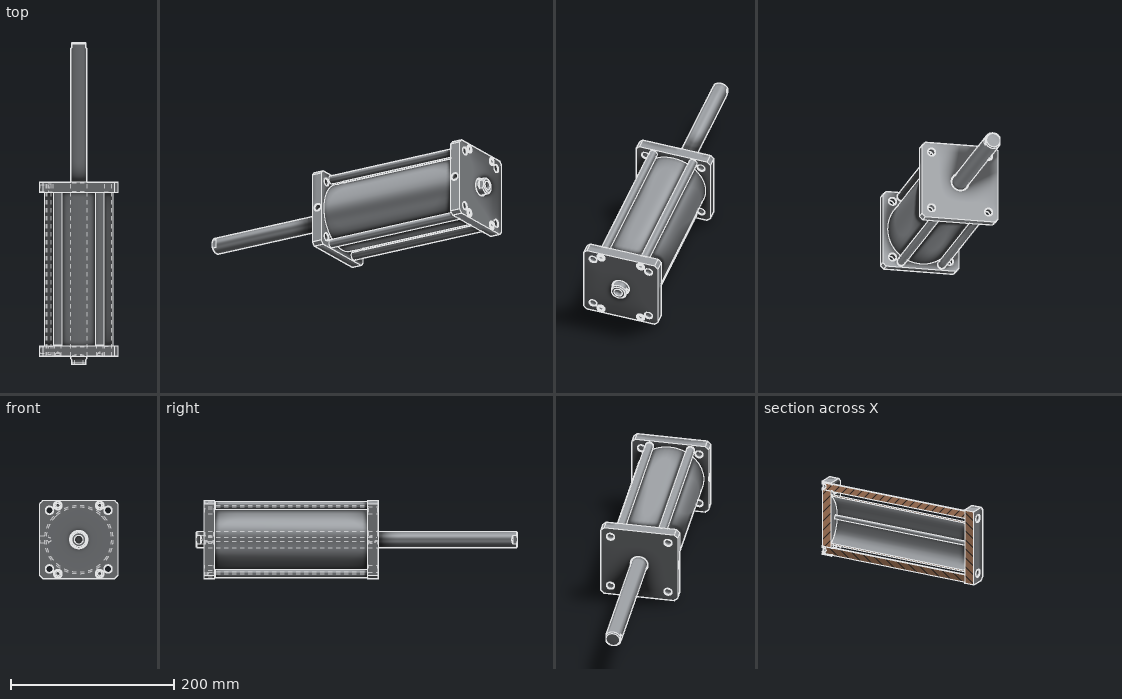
import cadquery as cq
import math


plate_size = 96.0
plate_thickness = 13.0
plate_corner_diameter = 130.0
plate_spacing = 187.5
rod_hole_chamfer = 1.0

mount_hole_diameter = 8.5
mount_hole_chamfer = 0.8
mount_hole_offset = 36.0

port_diameter = 8.3
port_chamfer = 0.8
port_depth = 11.0
port_inset = 5.5

tube_outer_diameter = 84.0
tube_inner_diameter = 80.0

rod_length = 394.0
rod_diameter = 20.0
rod_front_overhang = 10.0
rod_chamfer = 1.5
rod_flat_width = 17.5
rod_flat_length = 6.0
rod_bore_diameter = 10.5
rod_bore_depth = 12
rod_bore_tip_angle = 168.0

tie_diameter = 10.2
tie_neck_diameter = 8.3
tie_neck_relief = 1.0
tie_hole_chamfer = 1.0
tie_socket_diameter = 5.0
tie_socket_depth = 4
tie_offset_x = 25.5
tie_offset_z = 41.8

pin_diameter = 5.0
pin_seat_depth = 10.5
pin_offset = 36.2

drill_tip_angle = 118.0

rod_front = -rod_length / 2
rod_rear = rod_length / 2
front_outer = rod_front + rod_front_overhang
front_inner = front_outer + plate_thickness
rear_inner = front_inner + plate_spacing

tie_positions = [(x, z) for x in (-tie_offset_x, tie_offset_x) for z in (-tie_offset_z, tie_offset_z)]
mount_positions = [
    (x, z)
    for x in (-mount_hole_offset, mount_hole_offset)
    for z in (-mount_hole_offset, mount_hole_offset)
]


def bar(diameter, start, end, x=0.0, z=0.0):
    """Round bar along Y from start to end."""
    return cq.Workplane(
        cq.Solid.makeCylinder(diameter / 2, end - start, cq.Vector(x, start, z), cq.Vector(0, 1, 0))
    )


def drilled_hole(diameter, depth, entry, direction, tip_angle):
    """Cutter for a blind hole of the given full-diameter depth with a conical tip."""
    radius = diameter / 2
    tip_length = radius / math.tan(math.radians(tip_angle / 2))
    shank = cq.Solid.makeCylinder(radius, depth, entry, direction)
    tip = cq.Solid.makeCone(radius, 0, tip_length, entry + direction * depth, direction)
    return cq.Workplane(shank.fuse(tip))


def countersink(hole_diameter, chamfer, entry, direction):
    """Cutter for a 45 degree chamfer around the mouth of a hole."""
    radius = hole_diameter / 2
    return cq.Workplane(cq.Solid.makeCone(radius + chamfer, radius, chamfer, entry, direction))


def chamfered_through_hole(diameter, chamfer, start, x=0.0, z=0.0):
    """Cutter for a hole through a plate that starts at start, chamfered at both faces."""
    end = start + plate_thickness
    hole = bar(diameter, start, end, x, z)
    hole = hole.union(countersink(diameter, chamfer, cq.Vector(x, start, z), cq.Vector(0, 1, 0)))
    return hole.union(countersink(diameter, chamfer, cq.Vector(x, end, z), cq.Vector(0, -1, 0)))


def make_plate(start, port_y):
    """End plate from start towards +Y, with its rod hole, mounting holes and air port."""
    end = start + plate_thickness
    block = cq.Workplane("XY").box(plate_size, plate_thickness, plate_size)
    block = block.translate((0, (start + end) / 2, 0))
    block = block.intersect(bar(plate_corner_diameter, start, end))
    block = block.cut(chamfered_through_hole(rod_diameter, rod_hole_chamfer, start))
    for x, z in mount_positions:
        block = block.cut(chamfered_through_hole(mount_hole_diameter, mount_hole_chamfer, start, x, z))
    port_entry = cq.Vector(-plate_size / 2, port_y, 0)
    inward = cq.Vector(1, 0, 0)
    block = block.cut(drilled_hole(port_diameter, port_depth, port_entry, inward, drill_tip_angle))
    block = block.cut(countersink(port_diameter, port_chamfer, port_entry, inward))
    return block.cut(make_pin())


def make_front_plate():
    """End plate on the -Y side, with through holes for the tie rod necks."""
    plate = make_plate(front_outer, front_inner - port_inset)
    for x, z in tie_positions:
        plate = plate.cut(bar(tie_neck_diameter, front_outer, front_inner, x, z))
        mouth = cq.Vector(x, front_outer, z)
        plate = plate.cut(countersink(tie_neck_diameter, tie_hole_chamfer, mouth, cq.Vector(0, 1, 0)))
    return plate


def make_rear_plate():
    """End plate on the +Y side."""
    return make_plate(rear_inner, rear_inner + port_inset)


def make_tube():
    """Cylinder tube clamped between the plates."""
    outer = bar(tube_outer_diameter, front_inner, rear_inner)
    return outer.cut(bar(tube_inner_diameter, front_inner, rear_inner))


def rod_flat_cutter(side, end):
    """Cutter for one flat: parallel to the axis, then running out at 45 degrees."""
    flat = side * rod_flat_width / 2
    surface = side * rod_diameter / 2
    depth = surface - flat
    end_y = end * rod_length / 2
    flat_stop = end_y - end * rod_flat_length
    runout_stop = flat_stop - end * abs(depth)
    profile = cq.Workplane("XY").polyline(
        [(flat, end_y), (surface, end_y), (surface, runout_stop), (flat, flat_stop)]
    )
    return profile.close().extrude(rod_diameter / 2, both=True)


def make_rod():
    """Piston rod with chamfered ends, a pair of flats at each end and a bore in the front end."""
    radius = rod_diameter / 2
    end_radius = radius - rod_chamfer
    rod = (
        cq.Workplane("XY")
        .polyline(
            [
                (0, rod_front),
                (end_radius, rod_front),
                (radius, rod_front + rod_chamfer),
                (radius, rod_rear - rod_chamfer),
                (end_radius, rod_rear),
                (0, rod_rear),
            ]
        )
        .close()
        .revolve(360, (0, 0, 0), (0, 1, 0))
    )
    for side in (-1, 1):
        for end in (-1, 1):
            rod = rod.cut(rod_flat_cutter(side, end))
    bore_entry = cq.Vector(0, rod_front, 0)
    return rod.cut(
        drilled_hole(rod_bore_diameter, rod_bore_depth, bore_entry, cq.Vector(0, 1, 0), rod_bore_tip_angle)
    )


def make_tie_rod(x, z):
    """Tie rod with a neck through the front plate and a drilled socket in the neck's end."""
    shoulder = front_inner + tie_neck_relief
    tie = bar(tie_diameter, shoulder, rear_inner, x, z)
    tie = tie.union(bar(tie_neck_diameter, front_outer, shoulder, x, z))
    socket_entry = cq.Vector(x, front_outer, z)
    return tie.cut(
        drilled_hole(tie_socket_diameter, tie_socket_depth, socket_entry, cq.Vector(0, 1, 0), drill_tip_angle)
    )


def make_pin():
    """Plain pin parallel to the cylinder axis."""
    return bar(pin_diameter, front_inner - pin_seat_depth, rear_inner + pin_seat_depth, -pin_offset)


front_plate = make_front_plate()
rear_plate = make_rear_plate()
tube = make_tube()
piston_rod = make_rod()
guide_pin = make_pin()
tie_rods = [make_tie_rod(x, z) for x, z in tie_positions]

result = cq.Compound.makeCompound(
    [
        front_plate.val(),
        rear_plate.val(),
        tube.val(),
        piston_rod.val(),
        guide_pin.val(),
        *[tie.val() for tie in tie_rods],
    ]
)